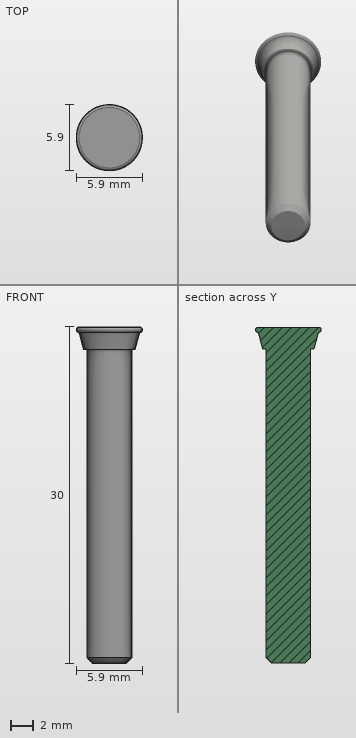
import cadquery as cq
import math

total_length = 30.0
shank_diameter = 4.0
tip_chamfer = 0.5

head_diameter = 5.9
head_height = 2.0
rim_thickness = 0.5
neck_half_angle = 15.0

shank_radius = shank_diameter / 2
head_radius = head_diameter / 2
tip_radius = shank_radius - tip_chamfer
rim_round = rim_thickness / 2
flat_radius = head_radius - rim_round
neck_height = head_height - rim_thickness
neck_base_radius = flat_radius - neck_height * math.tan(math.radians(neck_half_angle))

shank_start = tip_chamfer
head_start = total_length - head_height
rim_start = total_length - rim_thickness
rim_middle = total_length - rim_round


def pin_profile():
    """Half section of the pin: radius along X, axis along Z."""
    return (
        cq.Workplane("XZ")
        .moveTo(0, 0)
        .lineTo(tip_radius, 0)
        .lineTo(shank_radius, shank_start)
        .lineTo(shank_radius, head_start)
        .lineTo(neck_base_radius, head_start)
        .lineTo(flat_radius, rim_start)
        .threePointArc((head_radius, rim_middle), (flat_radius, total_length))
        .lineTo(0, total_length)
        .close()
    )


result = pin_profile().revolve(360, (0, 0, 0), (0, 1, 0))